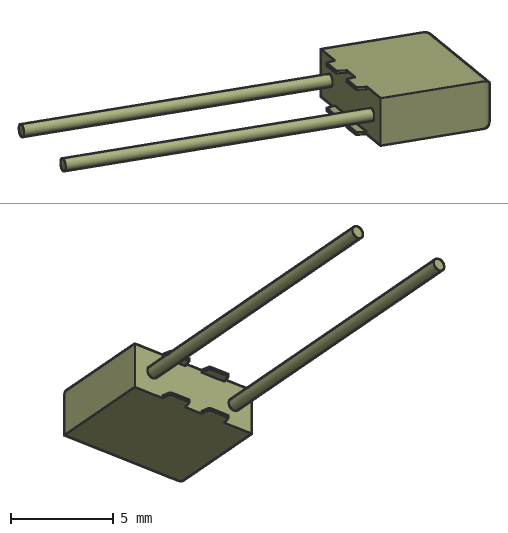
import cadquery as cq

total_length = 22.5
housing_width = 7.2
housing_length = 6.0
housing_height = 2.5
crown_radius = 0.5

tab_length = 0.5
tab_thickness = 0.14
tab_base_width = 1.42
tab_tip_width = 1.17
tab_pitch = housing_width / 3

lead_diameter = 0.65
lead_pitch = 5.0

lead_length = total_length - housing_length


def mirrored_pair(pitch):
    return (-pitch / 2, pitch / 2)


def make_tab(center_x, bottom_z):
    """Flat tapered tab that projects from the lead face."""
    return (
        cq.Workplane("XY")
        .workplane(offset=bottom_z)
        .moveTo(center_x - tab_base_width / 2, 0)
        .lineTo(center_x + tab_base_width / 2, 0)
        .lineTo(center_x + tab_tip_width / 2, -tab_length)
        .lineTo(center_x - tab_tip_width / 2, -tab_length)
        .close()
        .extrude(tab_thickness)
    )


def make_housing():
    """Box with a rounded rim on its closed end and four tabs on its lead face."""
    housing = (
        cq.Workplane("XY")
        .box(housing_width, housing_length, housing_height, centered=(True, False, True))
        .faces(">Y")
        .edges()
        .fillet(crown_radius)
    )
    tab_bottoms = (-housing_height / 2, housing_height / 2 - tab_thickness)
    for bottom_z in tab_bottoms:
        for center_x in mirrored_pair(tab_pitch):
            housing = housing.union(make_tab(center_x, bottom_z))
    return housing


def make_lead(center_x):
    """Straight round wire that starts on the lead face."""
    return (
        cq.Workplane("XZ")
        .center(center_x, 0)
        .circle(lead_diameter / 2)
        .extrude(lead_length)
    )


housing = make_housing()
leads = [make_lead(center_x) for center_x in mirrored_pair(lead_pitch)]

result = cq.Compound.makeCompound([housing.val(), *[lead.val() for lead in leads]])